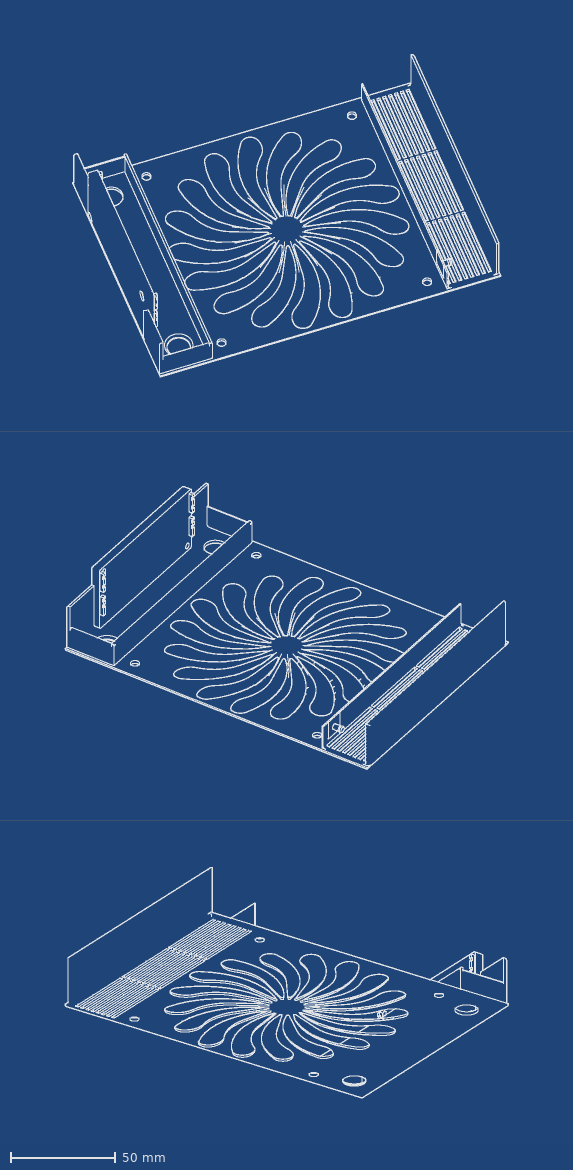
import cadquery as cq
import math

PLATE_WIDTH = 122.2
PLATE_LENGTH = 174.0
PLATE_THICKNESS = 1.8
PLATE_EDGE_RADIUS = 1.4

WALL_SPAN = 119.6
WALL_TOP = 26.5
FRONT_WALL_EDGE_RADIUS = 1.2
BACK_WALL_EDGE_RADIUS = 1.5
FRONT_WALL_THICKNESS = 2.0
BACK_WALL_THICKNESS = 1.7
LOW_WALL_TOP = 14.5
BASE_FILLET = 1.5
PARTITION_THICKNESS = 0.7
PARTITION_FRONT = 60.0

TRAY_BACK = -59.8
TRAY_BACK_THICKNESS = 1.5
TRAY_SIDE_THICKNESS = 1.15
TRAY_SIDE_TOP = 13.7
TRAY_EDGE_RADIUS = 1.1
TRAY_HOLE_X = 47.0
TRAY_HOLE_Y = -72.4
TRAY_HOLE_DIAMETER = 11.2
TRAY_HOLE_CHAMFER = 1.2

HOOD_WIDTH = 79.8
HOOD_CENTRE_X = -0.8
HOOD_DEPTH = 5.1
HOOD_TOP = 36.8
HOOD_EDGE_RADIUS = 1.2
SCREW_HOLE_DIAMETER = 2.9
SCREW_HEAD_DIAMETER = 5.0
SCREW_SIDE_INSET = 3.75
SCREW_END_INSET = 3.0

STRIP_THICKNESS = 1.7
STRIP_DEPTH = 1.9
STRIP_HEIGHT = 10.8
STRIP_INSET = 0.6
NOTCH_DEPTH = 0.6
NOTCH_HEIGHT = 1.4
UPPER_STRIP_TOP = 34.9
UPPER_NOTCHES = (32.4, 27.2)
LOWER_STRIP_TOP = 20.9
LOWER_NOTCHES = (19.0, 15.6)

SLOT_ROWS = 8
SLOT_COLUMNS = 3
SLOT_LENGTH = 37.3
SLOT_HEIGHT = 1.5
SLOT_ROW_PITCH = 3.0
SLOT_COLUMN_PITCH = 38.8
GRILLE_CENTRE_X = -0.3
GRILLE_CENTRE_Y = 72.4

MOUNT_SPACING = 105.0
MOUNT_DIAMETER = 4.4
PETALS = 17
PETAL_EDGE_RADIUS = 1.6

HUB_END_CENTRE = (9.28, 0.70)
HUB_END_RADIUS = 0.63
TIP_CENTRE = (52.86, -11.03)
TIP_RADIUS = 4.64
BELLY_RADIUS = 9.53
BELLY_DIRECTION = 99.3
CONVEX_RADIUS = 42.14
CONCAVE_RADIUS = 24.67
STRAIGHT_DIRECTION = -5.4

BUTTON_X = 50.0
BUTTON_WIDTH = 9.8
BUTTON_BOTTOM = 4.4
PEG_HEIGHT = 8.8
PEG_DIAMETER = 2.9
PEG_LENGTH = 4.8
PEG_HEAD_LENGTH = 1.6
PEG_HEAD_DIAMETER = 3.5

FRONT = -PLATE_LENGTH / 2
BACK = PLATE_LENGTH / 2
HOOD_LEFT = HOOD_CENTRE_X - HOOD_WIDTH / 2
HOOD_RIGHT = HOOD_CENTRE_X + HOOD_WIDTH / 2
HOOD_BACK = FRONT + HOOD_DEPTH
PARTITION_BACK = PARTITION_FRONT + PARTITION_THICKNESS


def block(x0, x1, y0, y1, z0, z1):
    """Box given by its limits along X, Y and Z."""
    return cq.Workplane("XY").box(x1 - x0, y1 - y0, z1 - z0, centered=False).translate((x0, y0, z0))


def cross_wall(y0, y1, top):
    """Wall running along X, standing on the plate."""
    return block(-WALL_SPAN / 2, WALL_SPAN / 2, y0, y1, PLATE_THICKNESS, top)


def rod_along_y(x, z, y, diameter, length):
    """Cylinder along +Y that starts at the given y."""
    disc = cq.Workplane("XZ", origin=(x, y, z)).circle(diameter / 2)
    return disc.extrude(-length)


def along(point, degrees, distance):
    """Point at a distance from another point, in a direction."""
    angle = math.radians(degrees)
    return point[0] + distance * math.cos(angle), point[1] + distance * math.sin(angle)


def bearing(start, end):
    """Direction in degrees from one point to another."""
    return math.degrees(math.atan2(end[1] - start[1], end[0] - start[0]))


def right_circle_crossing(c0, r0, c1, r1):
    """Crossing of two circles that lies to the right of the line c0 to c1."""
    span = math.dist(c0, c1)
    offset = math.acos((r0**2 + span**2 - r1**2) / (2 * r0 * span))
    return along(c0, bearing(c0, c1) - math.degrees(offset), r0)


def arc_middle(centre, radius, start, end):
    """Middle point of the shorter arc between two points of a circle."""
    middle = ((start[0] + end[0]) / 2, (start[1] + end[1]) / 2)
    return along(centre, bearing(centre, middle), radius)


def petal_wire():
    """Closed outline of one petal opening."""
    hub, tip = HUB_END_CENTRE, TIP_CENTRE
    belly = along(tip, BELLY_DIRECTION, BELLY_RADIUS - TIP_RADIUS)
    convex = right_circle_crossing(hub, CONVEX_RADIUS - HUB_END_RADIUS, tip, CONVEX_RADIUS - TIP_RADIUS)

    outward = STRAIGHT_DIRECTION - 90
    level = along(hub, outward, HUB_END_RADIUS + CONCAVE_RADIUS)
    reach = math.dist(level, belly)
    turn = math.radians(bearing(level, belly) - STRAIGHT_DIRECTION)
    rise = reach * math.sin(turn)
    straight = reach * math.cos(turn) - math.sqrt((CONCAVE_RADIUS + BELLY_RADIUS) ** 2 - rise**2)
    concave = along(level, STRAIGHT_DIRECTION, straight)

    hub_low = along(hub, outward, HUB_END_RADIUS)
    hub_high = along(hub, bearing(convex, hub), HUB_END_RADIUS)
    hub_middle = along(hub, 180 + STRAIGHT_DIRECTION, HUB_END_RADIUS)
    tip_high = along(tip, bearing(convex, tip), TIP_RADIUS)
    tip_low = along(tip, bearing(belly, tip), TIP_RADIUS)
    belly_end = along(belly, bearing(belly, concave), BELLY_RADIUS)
    straight_end = along(concave, outward + 180, CONCAVE_RADIUS)
    belly_middle = along(belly, (bearing(belly, tip) + bearing(belly, concave)) / 2, BELLY_RADIUS)

    return (
        cq.Workplane("XY")
        .moveTo(*hub_low)
        .threePointArc(hub_middle, hub_high)
        .threePointArc(arc_middle(convex, CONVEX_RADIUS, hub_high, tip_high), tip_high)
        .threePointArc(arc_middle(tip, TIP_RADIUS, tip_high, tip_low), tip_low)
        .threePointArc(belly_middle, belly_end)
        .threePointArc(arc_middle(concave, CONCAVE_RADIUS, belly_end, straight_end), straight_end)
        .close()
        .val()
    )


def petal_cutter():
    """Tool for one petal opening, widening at the top to leave a rounded edge on the plate."""
    margin = 2 * PETAL_EDGE_RADIUS
    reach = TIP_CENTRE[0] + TIP_RADIUS + margin
    frame = block(0, reach, -reach / 2, reach / 2, 0, PLATE_THICKNESS)
    opening = cq.Solid.extrudeLinear(petal_wire(), [], cq.Vector(0, 0, PLATE_THICKNESS))
    pierced = frame.cut(cq.Workplane(opening))
    rim = pierced.faces(">Z").wires(cq.selectors.LengthNthSelector(0)).edges()
    return frame.cut(rim.fillet(PETAL_EDGE_RADIUS))


def toothed_strip(x, top, notches):
    """Small upright strip behind the hood with notches across its free edge."""
    tip = HOOD_BACK + STRIP_DEPTH
    strip = block(x, x + STRIP_THICKNESS, HOOD_BACK, tip, top - STRIP_HEIGHT, top)
    for z in notches:
        low = z - NOTCH_HEIGHT / 2
        notch = block(x, x + STRIP_THICKNESS, tip - NOTCH_DEPTH, tip, low, low + NOTCH_HEIGHT)
        strip = strip.cut(notch)
    return strip


def screw_hole(x, z):
    """Countersunk hole along Y, opening wide at the front of the hood."""
    head_radius = SCREW_HEAD_DIAMETER / 2
    hole_radius = SCREW_HOLE_DIAMETER / 2
    hole = rod_along_y(x, z, FRONT, SCREW_HOLE_DIAMETER, HOOD_DEPTH)
    cone = cq.Solid.makeCone(
        head_radius,
        hole_radius,
        head_radius - hole_radius,
        pnt=cq.Vector(x, FRONT, z),
        dir=cq.Vector(0, 1, 0),
    )
    return hole.union(cq.Workplane(cone))


def make_hood():
    """Rounded block with toothed strips behind it and screw holes in two opposite corners."""
    hood = block(HOOD_LEFT, HOOD_RIGHT, FRONT, HOOD_BACK, PLATE_THICKNESS, HOOD_TOP)
    hood = hood.edges("|Y").fillet(HOOD_EDGE_RADIUS)
    hood = hood.faces("<Y").edges().fillet(HOOD_EDGE_RADIUS)
    for x in (HOOD_LEFT + STRIP_INSET, HOOD_RIGHT - STRIP_INSET - STRIP_THICKNESS):
        hood = hood.union(toothed_strip(x, UPPER_STRIP_TOP, UPPER_NOTCHES))
        hood = hood.union(toothed_strip(x, LOWER_STRIP_TOP, LOWER_NOTCHES))
    hood = hood.cut(screw_hole(HOOD_LEFT + SCREW_SIDE_INSET, PLATE_THICKNESS + SCREW_END_INSET))
    return hood.cut(screw_hole(HOOD_RIGHT - SCREW_SIDE_INSET, HOOD_TOP - SCREW_END_INSET))


def make_plate():
    """Base plate with rounded lower edges, the fan grille, mounting holes and two tray holes."""
    plate = block(-PLATE_WIDTH / 2, PLATE_WIDTH / 2, FRONT, BACK, 0, PLATE_THICKNESS)
    plate = plate.faces("<Z").edges().fillet(PLATE_EDGE_RADIUS)

    cutter = petal_cutter()
    for index in range(PETALS):
        plate = plate.cut(cutter.rotate((0, 0, 0), (0, 0, 1), index * 360 / PETALS))

    mounts = cq.Workplane("XY").rect(MOUNT_SPACING, MOUNT_SPACING, forConstruction=True).vertices()
    plate = plate.cut(mounts.circle(MOUNT_DIAMETER / 2).extrude(PLATE_THICKNESS))

    tray_holes = cq.Workplane("XY").pushPoints([(-TRAY_HOLE_X, TRAY_HOLE_Y), (TRAY_HOLE_X, TRAY_HOLE_Y)])
    plate = plate.cut(tray_holes.circle(TRAY_HOLE_DIAMETER / 2).extrude(PLATE_THICKNESS))
    hole_radius = TRAY_HOLE_DIAMETER / 2
    countersink = cq.Solid.makeCone(
        hole_radius,
        hole_radius + TRAY_HOLE_CHAMFER,
        TRAY_HOLE_CHAMFER,
        pnt=cq.Vector(TRAY_HOLE_X, TRAY_HOLE_Y, PLATE_THICKNESS - TRAY_HOLE_CHAMFER),
    )
    return plate.cut(cq.Workplane(countersink))


def base_fillet(wall_face, direction):
    """Concave strip along the foot of a cross wall, on the side given by direction (+1 or -1)."""
    centre_y = wall_face + direction * BASE_FILLET
    centre_z = PLATE_THICKNESS + BASE_FILLET
    diagonal = BASE_FILLET * math.sqrt(0.5)
    profile = (
        cq.Workplane("YZ", origin=(-WALL_SPAN / 2, 0, 0))
        .moveTo(wall_face, PLATE_THICKNESS)
        .lineTo(centre_y, PLATE_THICKNESS)
        .threePointArc((centre_y - direction * diagonal, centre_z - diagonal), (wall_face, centre_z))
        .close()
    )
    return profile.extrude(WALL_SPAN)


def make_front_wall():
    """Front wall, rounded along its outer top edge."""
    wall = cross_wall(FRONT, FRONT + FRONT_WALL_THICKNESS, WALL_TOP)
    return wall.edges("<Y and >Z").fillet(FRONT_WALL_EDGE_RADIUS)


def make_back_wall():
    """Back wall, rounded around its outer face except along the plate."""
    wall = cross_wall(BACK - BACK_WALL_THICKNESS, BACK, WALL_TOP)
    return wall.faces(">Y").edges("not <Z").fillet(BACK_WALL_EDGE_RADIUS)


def make_tray():
    """Low back and side walls that close off the space behind the front wall."""
    back = cross_wall(TRAY_BACK - TRAY_BACK_THICKNESS, TRAY_BACK, LOW_WALL_TOP)
    tray = back.edges(">Y and >Z").fillet(TRAY_EDGE_RADIUS)
    for side in (-1, 1):
        outer = side * WALL_SPAN / 2
        inner = outer - side * TRAY_SIDE_THICKNESS
        panel = block(min(outer, inner), max(outer, inner), FRONT, TRAY_BACK, PLATE_THICKNESS, TRAY_SIDE_TOP)
        outer_edge = "<X and >Z" if side < 0 else ">X and >Z"
        tray = tray.union(panel.edges(outer_edge).fillet(TRAY_EDGE_RADIUS))
    return tray


def grille_slots():
    """Rows and columns of slots through the plate and the feet of the walls beside them."""
    slots = cq.Workplane("XY", origin=(GRILLE_CENTRE_X, GRILLE_CENTRE_Y, 0))
    slots = slots.rarray(SLOT_COLUMN_PITCH, SLOT_ROW_PITCH, SLOT_COLUMNS, SLOT_ROWS)
    return slots.rect(SLOT_LENGTH, SLOT_HEIGHT).extrude(PLATE_THICKNESS + BASE_FILLET)


def button_plate():
    """Rectangle of the partition that belongs to the button."""
    half = BUTTON_WIDTH / 2
    return block(
        BUTTON_X - half, BUTTON_X + half, PARTITION_FRONT, PARTITION_BACK, BUTTON_BOTTOM, LOW_WALL_TOP
    )


def make_chassis(hood):
    """Plate with its walls. The front wall fits around the hood and fills its lower screw hole."""
    partition = cross_wall(PARTITION_FRONT, PARTITION_BACK, LOW_WALL_TOP).cut(button_plate())
    front_wall_fillet = base_fillet(FRONT + FRONT_WALL_THICKNESS, 1)
    back_wall_fillet = base_fillet(BACK - BACK_WALL_THICKNESS, -1)
    partition_fillet = base_fillet(PARTITION_BACK, 1)

    chassis = make_plate()
    for part in (
        make_front_wall(),
        front_wall_fillet,
        make_tray(),
        make_back_wall(),
        back_wall_fillet,
        partition,
        partition_fillet,
    ):
        chassis = chassis.union(part)
    return chassis.cut(grille_slots()).cut(hood)


def make_button():
    """Flat plate with a peg whose end carries a slightly larger, double-tapered head."""
    shaft = rod_along_y(BUTTON_X, PEG_HEIGHT, PARTITION_BACK, PEG_DIAMETER, PEG_LENGTH)
    peg_end = PARTITION_BACK + PEG_LENGTH
    head_start = peg_end - PEG_HEAD_LENGTH
    head_middle = peg_end - PEG_HEAD_LENGTH / 2
    head = (
        cq.Workplane("XY", origin=(BUTTON_X, 0, PEG_HEIGHT))
        .moveTo(0, head_start)
        .lineTo(PEG_DIAMETER / 2, head_start)
        .lineTo(PEG_HEAD_DIAMETER / 2, head_middle)
        .lineTo(PEG_DIAMETER / 2, peg_end)
        .lineTo(0, peg_end)
        .close()
        .revolve(360, (0, 0, 0), (0, 1, 0))
    )
    return button_plate().union(shaft).union(head)


hood = make_hood()
chassis = make_chassis(hood)
button = make_button()

result = cq.Compound.makeCompound([chassis.val(), hood.val(), button.val()])